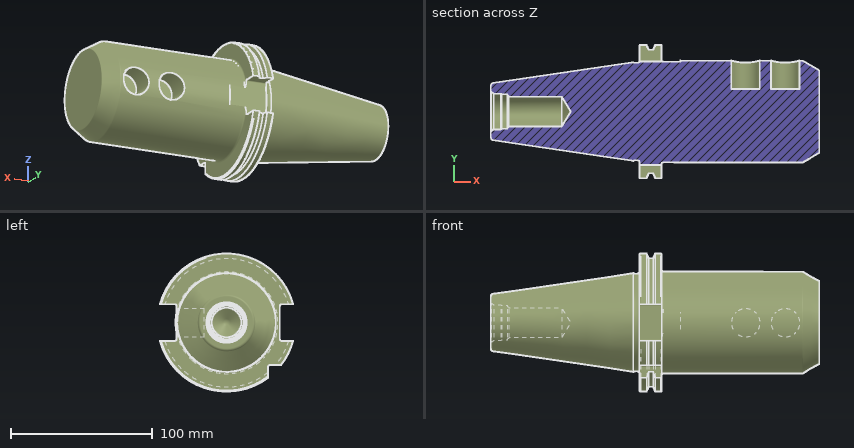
import cadquery as cq
import math


gauge_radius = 69.85 / 2
taper_per_length = 7 / 24 / 2
shank_length = 101.6
taper_end_x = -1.1
shank_edge_radius = 2.0

neck_floor_start = 0.3
neck_depth = 0.4
neck_fillet = 1.5

flange_start = 3.2
flange_end = 18.9
flange_radius = 97.5 / 2
flange_edge_radius = 0.8
groove_center = 11.3
groove_depth = 3.3
groove_floor_width = 3.1
groove_mouth_width = 6.0

body_radius = 36.0
body_end = 130.0
body_fillet = 1.2
nose_length = 11.7
nose_angle = 30
nose_shoulder_fillet = 1.5
nose_tip_fillet = 0.6

slot_width = 25.7
slot_corner_radius = 1.0
front_slot_floor = 37.7
rear_slot_floor = 35.3
rear_slot_end = 32.0
notch_y = 29.3
notch_z = 30.0
notch_corner_radius = 1.5

bore_mouth_radius = 14.3
mouth_lip_radius = 13.6
mouth_lip_length = 0.3
bore_cone_half_angle = 30
pilot_radius = 12.5
pilot_depth = 7.0
relief_radius = 12.1
relief_depth = 11.5
thread_entry_radius = 11.8
thread_core_radius = 10.4
bore_depth = 50.0
drill_point_angle = 118

screw_radius = 10.0
screw_floor_y = 16.0
first_screw_from_end = 24.0
screw_spacing = 28.0
screw_count = 2


def revolve_about_x(profile):
    return profile.close().revolve(360, (0, 0, 0), (1, 0, 0))


def make_body():
    shank_radius = gauge_radius - taper_per_length * shank_length
    neck_floor = gauge_radius - neck_depth
    neck_entry_length = neck_floor_start - taper_end_x
    neck_entry_radius = (neck_entry_length**2 + neck_depth**2) / (2 * neck_depth)
    flange_rim = flange_radius - flange_edge_radius
    groove_floor = flange_radius - groove_depth
    floor_half = groove_floor_width / 2
    mouth_half = groove_mouth_width / 2
    nose_radius = body_radius - nose_length * math.tan(math.radians(nose_angle))

    profile = (
        cq.Workplane("XY")
        .moveTo(-shank_length, 0)
        .lineTo(-shank_length, shank_radius)
        .lineTo(taper_end_x, gauge_radius)
        .radiusArc((neck_floor_start, neck_floor), -neck_entry_radius)
        .lineTo(flange_start - neck_fillet, neck_floor)
        .radiusArc((flange_start, neck_floor + neck_fillet), -neck_fillet)
        .lineTo(flange_start, flange_rim)
        .radiusArc((flange_start + flange_edge_radius, flange_radius), flange_edge_radius)
        .lineTo(groove_center - mouth_half, flange_radius)
        .lineTo(groove_center - floor_half, groove_floor)
        .lineTo(groove_center + floor_half, groove_floor)
        .lineTo(groove_center + mouth_half, flange_radius)
        .lineTo(flange_end - flange_edge_radius, flange_radius)
        .radiusArc((flange_end, flange_rim), flange_edge_radius)
        .lineTo(flange_end, body_radius + body_fillet)
        .radiusArc((flange_end + body_fillet, body_radius), -body_fillet)
        .lineTo(body_end - nose_length, body_radius)
        .lineTo(body_end, nose_radius)
        .lineTo(body_end, 0)
    )
    body = revolve_about_x(profile)
    body = body.faces("<X").edges().fillet(shank_edge_radius)
    shoulder_edge = cq.selectors.NearestToPointSelector((body_end - nose_length, 0, 0))
    body = body.edges(shoulder_edge).fillet(nose_shoulder_fillet)
    return body.faces(">X").edges().fillet(nose_tip_fillet)


def make_pull_stud_bore():
    lip_end = -shank_length + mouth_lip_length
    cone_slope = math.tan(math.radians(bore_cone_half_angle))
    pilot_start = lip_end + (mouth_lip_radius - pilot_radius) / cone_slope
    pilot_end = -shank_length + pilot_depth
    relief_start = pilot_end + (pilot_radius - relief_radius) / cone_slope
    relief_end = -shank_length + relief_depth
    core_start = relief_end + thread_entry_radius - thread_core_radius
    core_end = -shank_length + bore_depth
    point_length = thread_core_radius / math.tan(math.radians(drill_point_angle / 2))
    profile = (
        cq.Workplane("XY")
        .moveTo(-shank_length, 0)
        .lineTo(-shank_length, bore_mouth_radius)
        .lineTo(lip_end, mouth_lip_radius)
        .lineTo(pilot_start, pilot_radius)
        .lineTo(pilot_end, pilot_radius)
        .lineTo(relief_start, relief_radius)
        .lineTo(relief_end, relief_radius)
        .lineTo(relief_end, thread_entry_radius)
        .lineTo(core_start, thread_core_radius)
        .lineTo(core_end, thread_core_radius)
        .lineTo(core_end + point_length, 0)
    )
    return revolve_about_x(profile)


def make_drive_slot(floor_distance, end_x, turn_angle):
    """Cutter for a slot on the +Y side, turned about X by turn_angle degrees."""
    length = end_x - flange_start
    return (
        cq.Workplane("XY")
        .box(length, flange_radius, slot_width, centered=(False, False, True))
        .translate((flange_start, floor_distance, 0))
        .faces("<Y")
        .edges("|X")
        .fillet(slot_corner_radius)
        .rotate((0, 0, 0), (1, 0, 0), turn_angle)
    )


def make_orientation_notch():
    size = flange_radius
    return (
        cq.Workplane("XY")
        .box(flange_end - flange_start, size, size, centered=False)
        .translate((flange_start, -notch_y - size, -notch_z - size))
        .edges("|X and >Y and >Z")
        .fillet(notch_corner_radius)
    )


def make_screw_hole(center_x):
    axis = cq.Vector(0, 1, 0)
    floor = cq.Vector(center_x, screw_floor_y, 0)
    return cq.Workplane(cq.Solid.makeCylinder(screw_radius, body_radius, floor, axis))


result = make_body()
result = result.cut(make_pull_stud_bore())
result = result.cut(make_drive_slot(front_slot_floor, flange_end, 180))
result = result.cut(make_drive_slot(rear_slot_floor, rear_slot_end, 0))
result = result.cut(make_orientation_notch())
for index in range(screw_count):
    screw_x = body_end - first_screw_from_end - index * screw_spacing
    result = result.cut(make_screw_hole(screw_x))